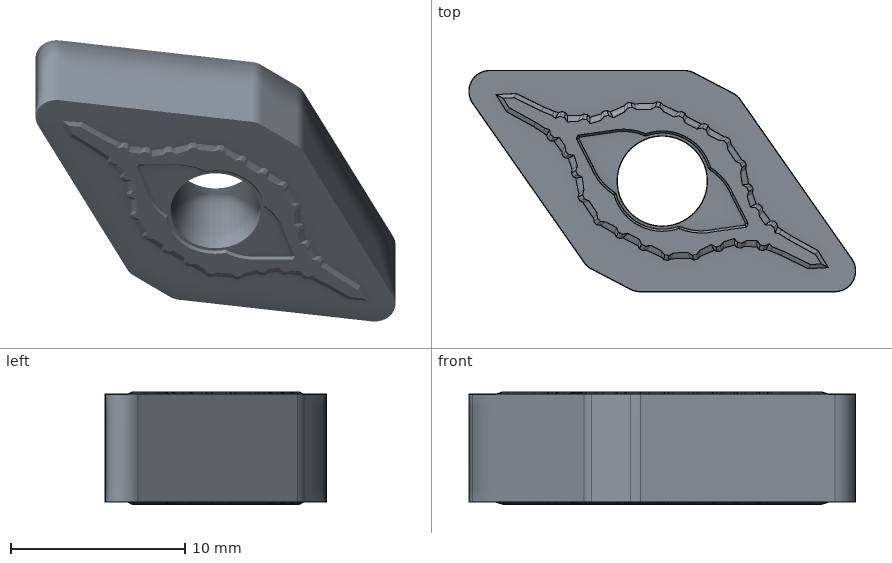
import cadquery as cq
import math


inscribed_diameter = 12.7
point_angle = 55.0
corner_radius = 1.2
overall_thickness = 6.45
hole_diameter = 5.16

land_height = 0.125
wall_run = 0.27
body_thickness = overall_thickness - 2 * land_height

bumps = [
    (0.75, 4.05, 90.0),
    (2.28, 3.92, 72.0),
    (3.77, 3.11, 52.0),
    (4.76, 2.06, 50.0),
    (5.67, 1.36, 72.0),
    (6.85, 0.90, 78.0),
]
bump_run = 0.29
bump_at_bottom = (0.11, 0.27, 0.12)
bump_at_top = (0.13, 0.36, 0.19)

neck_points = [(7.35, 0.69), (8.0, 0.63), (9.75, 0.59)]
neck_tip_u = 10.74
neck_tip_run = 0.46

recess_depth = land_height
recess_taper = 45.0
recess_ring_radius = 2.88
lid_start_u = 2.1
lid_middle = (3.1, 1.73)
lid_end = (4.0, 1.18)
eye_corner = (5.5, 0.11)

half_angle = point_angle / 2
inscribed_radius = inscribed_diameter / 2
half_body = body_thickness / 2


def mirrored_loop(quarter):
    """Close a quarter outline, listed from the short to the long diagonal, over both diagonals."""
    upper_left = [(-u, v) for u, v in reversed(quarter)]
    upper = upper_left + quarter
    lower = [(-u, -v) for u, v in upper]
    return upper + lower


def make_body():
    half_long = inscribed_radius / math.sin(math.radians(half_angle))
    half_short = inscribed_radius / math.cos(math.radians(half_angle))
    cut_half_length = (half_short - inscribed_radius) / math.tan(math.radians(half_angle))
    quarter = [(cut_half_length, inscribed_radius)]
    upper = mirrored_loop(quarter)
    outline = upper[:2] + [(half_long, 0)] + upper[2:] + [(-half_long, 0)]
    body = cq.Workplane("XY").workplane(offset=-half_body).polyline(outline).close()
    return body.extrude(body_thickness).edges("|Z").fillet(corner_radius)


def bump_points(bump, profile, run):
    """Four outline points of one bump, moved inward from the wall foot by the given run."""
    u, v, facing = bump
    crest_half, foot_half, height = profile
    normal_u = math.cos(math.radians(facing))
    normal_v = math.sin(math.radians(facing))
    stations = [(-foot_half, height), (-crest_half, 0), (crest_half, 0), (foot_half, height)]
    points = []
    for along, drop in stations:
        inward = run + drop
        points.append((u + along * normal_v - inward * normal_u, v - along * normal_u - inward * normal_v))
    return points


def land_outline(profile, crest_run, neck_run, tip_run):
    quarter = []
    for bump in bumps:
        quarter += bump_points(bump, profile, crest_run)
    quarter += [(u, v - neck_run) for u, v in neck_points]
    loop = mirrored_loop(quarter)
    half = len(loop) // 2
    tip_u = neck_tip_u - tip_run
    return loop[:half] + [(tip_u, 0)] + loop[half:] + [(-tip_u, 0)]


def make_land():
    bottom = land_outline(bump_at_bottom, 0, 0, 0)
    top = land_outline(bump_at_top, bump_run, wall_run, neck_tip_run)
    land = cq.Workplane("XY").workplane(offset=half_body).polyline(bottom).close()
    return land.workplane(offset=land_height).polyline(top).close().loft(ruled=True)


def make_recess():
    ring_v = math.sqrt(recess_ring_radius**2 - lid_start_u**2)
    eye = cq.Workplane("XY").workplane(offset=overall_thickness / 2).moveTo(-lid_start_u, ring_v)
    for turn in (1, -1):
        eye = (
            eye.threePointArc((0, turn * recess_ring_radius), (turn * lid_start_u, turn * ring_v))
            .threePointArc(
                (turn * lid_middle[0], turn * lid_middle[1]),
                (turn * lid_end[0], turn * lid_end[1]),
            )
            .lineTo(turn * eye_corner[0], turn * eye_corner[1])
            .lineTo(turn * eye_corner[0], -turn * eye_corner[1])
            .lineTo(turn * lid_end[0], -turn * lid_end[1])
            .threePointArc(
                (turn * lid_middle[0], -turn * lid_middle[1]),
                (turn * lid_start_u, -turn * ring_v),
            )
        )
    return eye.close().extrude(-recess_depth, taper=recess_taper)


def make_hole():
    hole = cq.Workplane("XY").workplane(offset=-overall_thickness / 2)
    return hole.circle(hole_diameter / 2).extrude(overall_thickness)


face_relief = make_land().cut(make_recess())
insert = make_body().union(face_relief).union(face_relief.mirror("XY")).cut(make_hole())
result = insert.rotate((0, 0, 0), (0, 0, 1), -half_angle)